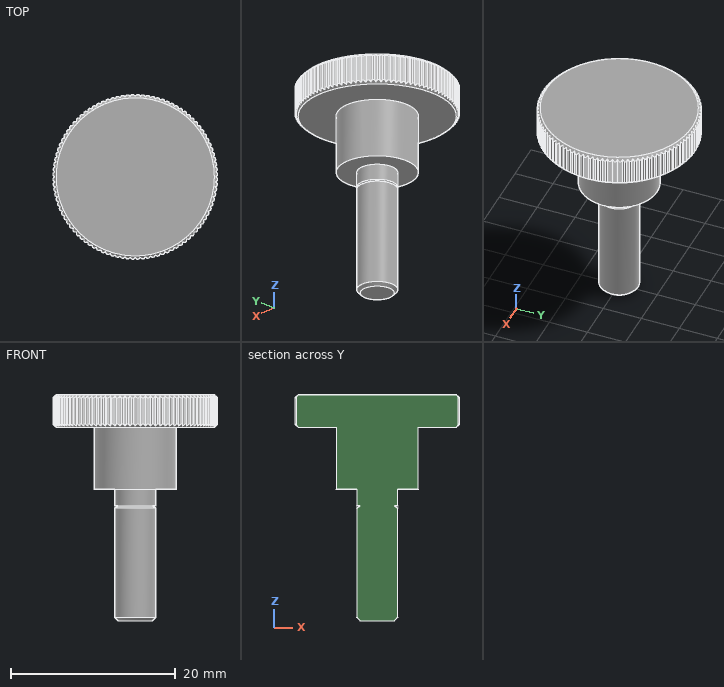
import cadquery as cq
import math

HEAD_DIAMETER = 20.0
HEAD_HEIGHT = 4.0
HEAD_CHAMFER = 0.4

GROOVE_COUNT = 100
GROOVE_DEPTH = 0.2
GROOVE_ANGLE = 90.0
GROOVE_OVERCUT = 0.1

COLLAR_DIAMETER = 10.0
COLLAR_HEIGHT = 7.5

SHANK_DIAMETER = 5.0
TOTAL_SHANK_LENGTH = 16.0
NECK_LENGTH = 2.0
THREAD_DEPTH = 0.433
RUNOUT_SLOPE = 30.0

COLLAR_BOTTOM = TOTAL_SHANK_LENGTH
HEAD_BOTTOM = COLLAR_BOTTOM + COLLAR_HEIGHT
NECK_BOTTOM = COLLAR_BOTTOM - NECK_LENGTH
SHANK_TOP = NECK_BOTTOM - THREAD_DEPTH * math.tan(math.radians(RUNOUT_SLOPE))


def make_disc():
    """Head blank with both rims chamfered at 45 degrees."""
    return (
        cq.Workplane("XY")
        .workplane(offset=HEAD_BOTTOM)
        .circle(HEAD_DIAMETER / 2)
        .extrude(HEAD_HEIGHT)
        .edges()
        .chamfer(HEAD_CHAMFER)
    )


def make_grooves():
    """Ring of V-shaped cutters running the full head height, the first one centred on +X."""
    root_radius = HEAD_DIAMETER / 2 - GROOVE_DEPTH
    cutter_depth = GROOVE_DEPTH + GROOVE_OVERCUT
    cutter_half_width = cutter_depth * math.tan(math.radians(GROOVE_ANGLE / 2))
    cutter = (
        cq.Workplane("XY")
        .workplane(offset=HEAD_BOTTOM)
        .moveTo(root_radius, 0)
        .lineTo(root_radius + cutter_depth, -cutter_half_width)
        .lineTo(root_radius + cutter_depth, cutter_half_width)
        .close()
        .extrude(HEAD_HEIGHT)
    )
    pitch_angle = 360 / GROOVE_COUNT
    cutters = []
    for index in range(GROOVE_COUNT):
        cutters.append(cutter.rotate((0, 0, 0), (0, 0, 1), index * pitch_angle).val())
    return cq.Compound.makeCompound(cutters)


def make_stem():
    """Collar, neck, thread run-out and shank turned from one profile about the Z axis."""
    collar_radius = COLLAR_DIAMETER / 2
    shank_radius = SHANK_DIAMETER / 2
    root_radius = shank_radius - THREAD_DEPTH
    return (
        cq.Workplane("XZ")
        .moveTo(0, 0)
        .lineTo(root_radius, 0)
        .lineTo(shank_radius, THREAD_DEPTH)
        .lineTo(shank_radius, SHANK_TOP)
        .lineTo(root_radius, NECK_BOTTOM)
        .lineTo(shank_radius, NECK_BOTTOM)
        .lineTo(shank_radius, COLLAR_BOTTOM)
        .lineTo(collar_radius, COLLAR_BOTTOM)
        .lineTo(collar_radius, HEAD_BOTTOM)
        .lineTo(0, HEAD_BOTTOM)
        .close()
        .revolve(360, (0, 0), (0, 1))
    )


head = make_disc().cut(cq.Workplane(obj=make_grooves()))
result = head.union(make_stem())